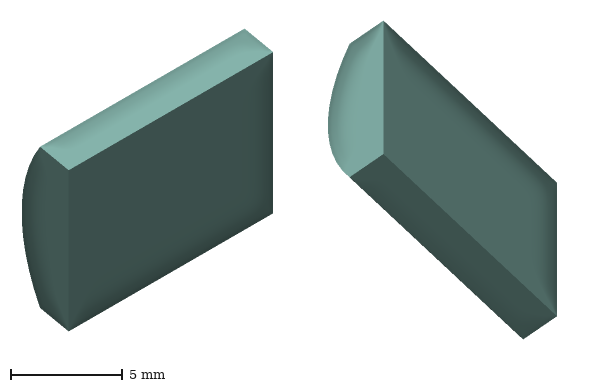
import cadquery as cq
import math

length = 12.0
height = 10.0
edge_thickness = 2.0
face_radius = 10.35

half_height = height / 2
sagitta = face_radius - math.sqrt(face_radius**2 - half_height**2)
center_thickness = edge_thickness + sagitta

result = (
    cq.Workplane("XZ")
    .moveTo(0, -half_height)
    .lineTo(0, half_height)
    .lineTo(-edge_thickness, half_height)
    .threePointArc((-center_thickness, 0), (-edge_thickness, -half_height))
    .close()
    .extrude(length / 2, both=True)
)